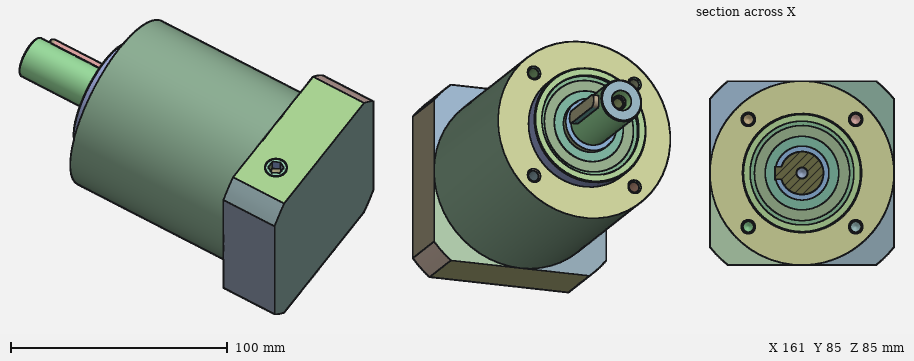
import cadquery as cq
import math

total_length = 161.0
flange_thickness = 28.0
body_front = 49.0
pilot_height = 8.0
pilot_front = body_front - pilot_height
collar_front = pilot_front - 1.0
flange_front = total_length - flange_thickness

shaft_diameter = 20.0
collar_diameter = 25.0
seal_diameter = 34.0
cover_diameter = 44.0
recess_diameter = 48.0
pilot_diameter = 55.0
body_diameter = 85.0
edge_chamfer = 0.5

recess_depth = 2.0
ring_step = 0.2
cover_depth = recess_depth + ring_step
seal_depth = cover_depth + ring_step

flange_side = body_diameter
flange_corner_diameter = 109.2

key_start = 3.0
key_length = 31.9
key_width = 6.0
key_top = 12.5
key_bottom = 6.5

drill_half_angle = math.radians(60)

center_mouth_diameter = 9.7
center_half_angle = math.radians(30)
center_bore_diameter = 6.5
center_bore_depth = 5.0
center_drill_diameter = 5.0
center_drill_depth = 16.0

mount_spacing = 49.6
mount_diameter = 5.0
mount_mouth_diameter = 6.5
mount_half_angle = math.radians(45)
mount_depth = 12.0

plug_x = flange_front + 13.7
plug_y = -18.8
plug_diameter = 10.3
hex_across_flats = 6.3
hex_turn = 90
hex_depth = 5.0
groove_width = 0.24
groove_depth = 0.24


def cylinder(start, end, diameter):
    """Solid cylinder on the X axis between two stations."""
    return cq.Workplane("YZ").workplane(offset=start).circle(diameter / 2).extrude(end - start)


def chamfered_cylinder(start, end, diameter):
    """Cylinder on the X axis with its front rim chamfered."""
    return cylinder(start, end, diameter).faces("<X").chamfer(edge_chamfer)


def drill_point(diameter):
    """Height of the cone left by a drill."""
    return diameter / 2 / math.tan(drill_half_angle)


def revolve_about_x(profile):
    """Solid of revolution from (station, radius) points."""
    return cq.Workplane("XY").polyline(profile).close().revolve(360, (0, 0, 0), (1, 0, 0))


def drilled_hole(station, diameter, depth):
    """Cutter for a blind hole along X with a conical bottom."""
    return revolve_about_x([
        (station, 0),
        (station, diameter / 2),
        (station + depth, diameter / 2),
        (station + depth + drill_point(diameter), 0),
    ])


def countersink(station, diameter, mouth_diameter, half_angle):
    """Cutter for a countersink that ends at the hole diameter."""
    sink_depth = (mouth_diameter - diameter) / 2 / math.tan(half_angle)
    return revolve_about_x([
        (station, 0),
        (station, mouth_diameter / 2),
        (station + sink_depth, diameter / 2),
        (station + sink_depth, 0),
    ])


def make_housing():
    """Square flange, round body and pilot with its stepped recess."""
    square = (
        cq.Workplane("YZ").workplane(offset=flange_front)
        .rect(flange_side, flange_side).extrude(flange_thickness)
    )
    flange = square.intersect(cylinder(flange_front, total_length, flange_corner_diameter))
    housing = flange.union(cylinder(body_front, flange_front, body_diameter))
    housing = housing.union(chamfered_cylinder(pilot_front, body_front, pilot_diameter))
    steps = [
        (recess_diameter, recess_depth),
        (cover_diameter, cover_depth),
        (seal_diameter, seal_depth),
    ]
    for diameter, depth in steps:
        housing = housing.cut(cylinder(pilot_front, pilot_front + depth, diameter))
    return housing


def make_shaft():
    """Keyed output shaft with its collar, rooted in the housing."""
    shaft = chamfered_cylinder(0, body_front, shaft_diameter)
    collar = cylinder(collar_front, body_front, collar_diameter)
    key = (
        cq.Workplane("XZ", origin=(key_start + key_length / 2, key_bottom, 0))
        .slot2D(key_length, key_width).extrude(key_bottom - key_top)
    )
    return shaft.union(collar).union(key)


def cut_center_hole(part):
    """Protected centre hole in the shaft end: countersink, bore and drill."""
    sink = countersink(0, center_bore_diameter, center_mouth_diameter, center_half_angle)
    part = part.cut(sink)
    part = part.cut(cylinder(0, center_bore_depth, center_bore_diameter))
    return part.cut(drilled_hole(0, center_drill_diameter, center_drill_depth))


def cut_mounting_holes(part):
    """Four blind holes in the front face of the body."""
    hole = drilled_hole(body_front, mount_diameter, mount_depth)
    sink = countersink(body_front, mount_diameter, mount_mouth_diameter, mount_half_angle)
    hole = hole.union(sink)
    for y_side in (-1, 1):
        for z_side in (-1, 1):
            offset = (0, y_side * mount_spacing / 2, z_side * mount_spacing / 2)
            part = part.cut(hole.translate(offset))
    return part


def cut_plug(part):
    """Fine ring outlining the plug, and its hexagon socket with a conical bottom."""
    face = cq.Workplane("XY", origin=(plug_x, plug_y, flange_side / 2))
    ring = (
        face.circle(plug_diameter / 2).circle(plug_diameter / 2 - groove_width)
        .extrude(-groove_depth)
    )
    hex_across_corners = hex_across_flats / math.cos(math.pi / 6)
    pointed = drilled_hole(0, hex_across_corners, hex_depth)
    pointed = pointed.rotate((0, 0, 0), (0, 1, 0), 90)
    pointed = pointed.translate((plug_x, plug_y, flange_side / 2))
    prism = face.polygon(6, hex_across_corners).extrude(-hex_depth - drill_point(hex_across_corners))
    prism = prism.rotate((plug_x, plug_y, 0), (plug_x, plug_y, 1), hex_turn)
    return part.cut(ring).cut(prism.intersect(pointed))


result = make_housing().union(make_shaft())
result = cut_center_hole(result)
result = cut_mounting_holes(result)
result = cut_plug(result)